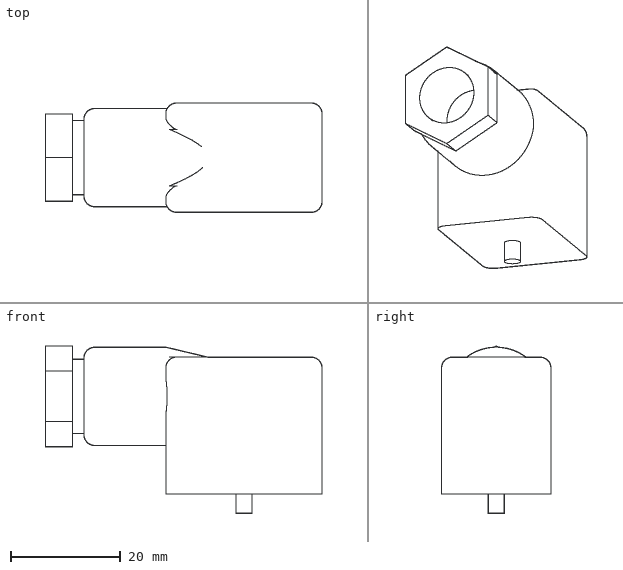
import cadquery as cq
import math

total_length = 50.5
edge_radius = 2.0

housing_length = 28.55
housing_width = 20.0
housing_height = 25.0
housing_start = total_length - housing_length
housing_center = housing_start + housing_length / 2

axis_height = 17.85
nut_length = 5.0
nut_across_flats = 15.95
nut_across_corners = nut_across_flats / math.cos(math.pi / 6)
bore_diameter = 10.5
bore_depth = 15.15
neck_diameter = 13.6
sleeve_start = 7.0
sleeve_diameter = 18.0

cone_reach = 7.7
roof_above_axis = housing_height - axis_height
cone_slope = (sleeve_diameter / 2 - roof_above_axis) / cone_reach
cone_length = 2 * cone_reach
cone_end_radius = sleeve_diameter / 2 - cone_slope * cone_length

shoulder_height = 24.75
shoulder_top_half_width = 5.15

screw_diameter = 3.0
screw_length = 3.55


def axis_plane(x):
    """Plane across the cable axis at the given X, facing +X."""
    return cq.Workplane("YZ", origin=(x, 0, axis_height))


def make_housing():
    block = cq.Workplane("XY", origin=(housing_center, 0, 0)).box(
        housing_length, housing_width, housing_height, centered=(True, True, False)
    )
    return block.edges("|Z or >Z").fillet(edge_radius)


def make_nut():
    return axis_plane(0).transformed(rotate=(0, 0, 90)).polygon(6, nut_across_corners).extrude(nut_length)


def make_sleeve():
    sleeve = axis_plane(sleeve_start).circle(sleeve_diameter / 2).extrude(housing_start - sleeve_start)
    return sleeve.faces("<X").edges().fillet(edge_radius)


def make_cone():
    return (
        axis_plane(housing_start)
        .circle(sleeve_diameter / 2)
        .workplane(offset=cone_length)
        .circle(cone_end_radius)
        .loft()
    )


def make_sleeve_root():
    """Continue the sleeve through the rounded housing edge, under sloping shoulders and the roof."""
    sleeve_radius = sleeve_diameter / 2
    shoulder_above_axis = shoulder_height - axis_height
    shoulder_half_width = math.sqrt(sleeve_radius**2 - shoulder_above_axis**2)
    trim_outline = [
        (-sleeve_radius, -sleeve_radius),
        (sleeve_radius, -sleeve_radius),
        (sleeve_radius, shoulder_above_axis),
        (shoulder_half_width, shoulder_above_axis),
        (shoulder_top_half_width, roof_above_axis),
        (-shoulder_top_half_width, roof_above_axis),
        (-shoulder_half_width, shoulder_above_axis),
        (-sleeve_radius, shoulder_above_axis),
    ]
    root = axis_plane(housing_start).circle(sleeve_radius).extrude(edge_radius)
    return root.intersect(axis_plane(housing_start).polyline(trim_outline).close().extrude(edge_radius))


neck = axis_plane(nut_length).circle(neck_diameter / 2).extrude(sleeve_start - nut_length)
screw = cq.Workplane("XY", origin=(housing_center, 0, 0)).circle(screw_diameter / 2).extrude(-screw_length)
bore = axis_plane(0).circle(bore_diameter / 2).extrude(bore_depth)

result = make_housing().union(make_cone()).union(make_sleeve_root()).union(make_sleeve())
result = result.union(neck).union(make_nut()).union(screw).cut(bore)